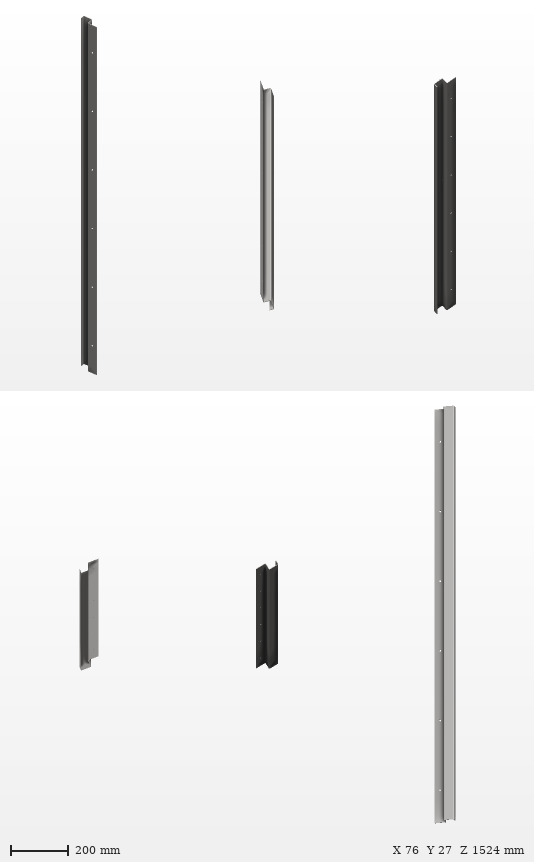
import cadquery as cq

width = 76.0
depth = 27.0
length = 1524.0

thickness = 1.8
inner_radius = 1.2
outer_radius = inner_radius + thickness
lip_depth = 17.0
web_outer_x = 38.0

hole_diameter = 6.4
hole_x = 56.0
hole_count = 6
first_hole_z = 120.0
hole_pitch = (length - 2 * first_hole_z) / (hole_count - 1)

web_inner_x = web_outer_x - thickness


def sharp_profile():
    """Folded section: short lip, back flange, web and wide front flange."""
    return (
        cq.Workplane("XY")
        .moveTo(0, depth - lip_depth)
        .lineTo(0, depth)
        .lineTo(web_outer_x, depth)
        .lineTo(web_outer_x, thickness)
        .lineTo(width, thickness)
        .lineTo(width, 0)
        .lineTo(web_inner_x, 0)
        .lineTo(web_inner_x, depth - thickness)
        .lineTo(thickness, depth - thickness)
        .lineTo(thickness, depth - lip_depth)
        .close()
    )


def fillet_edge_at(body, x, y, radius):
    """Round the lengthwise edge that passes through (x, y)."""
    edge = cq.selectors.NearestToPointSelector((x, y, length / 2))
    return body.edges("|Z").edges(edge).fillet(radius)


def mounting_holes():
    """Cutters through the wide flange, evenly spaced along the length."""
    centers = [(hole_x, first_hole_z + i * hole_pitch) for i in range(hole_count)]
    return (
        cq.Workplane("XZ")
        .pushPoints(centers)
        .circle(hole_diameter / 2)
        .extrude(-thickness)
    )


rail = sharp_profile().extrude(length)

outer_corners = [(0, depth), (web_outer_x, depth), (web_inner_x, 0)]
inner_corners = [
    (thickness, depth - thickness),
    (web_inner_x, depth - thickness),
    (web_outer_x, thickness),
]
for x, y in outer_corners:
    rail = fillet_edge_at(rail, x, y, outer_radius)
for x, y in inner_corners:
    rail = fillet_edge_at(rail, x, y, inner_radius)

result = rail.cut(mounting_holes())